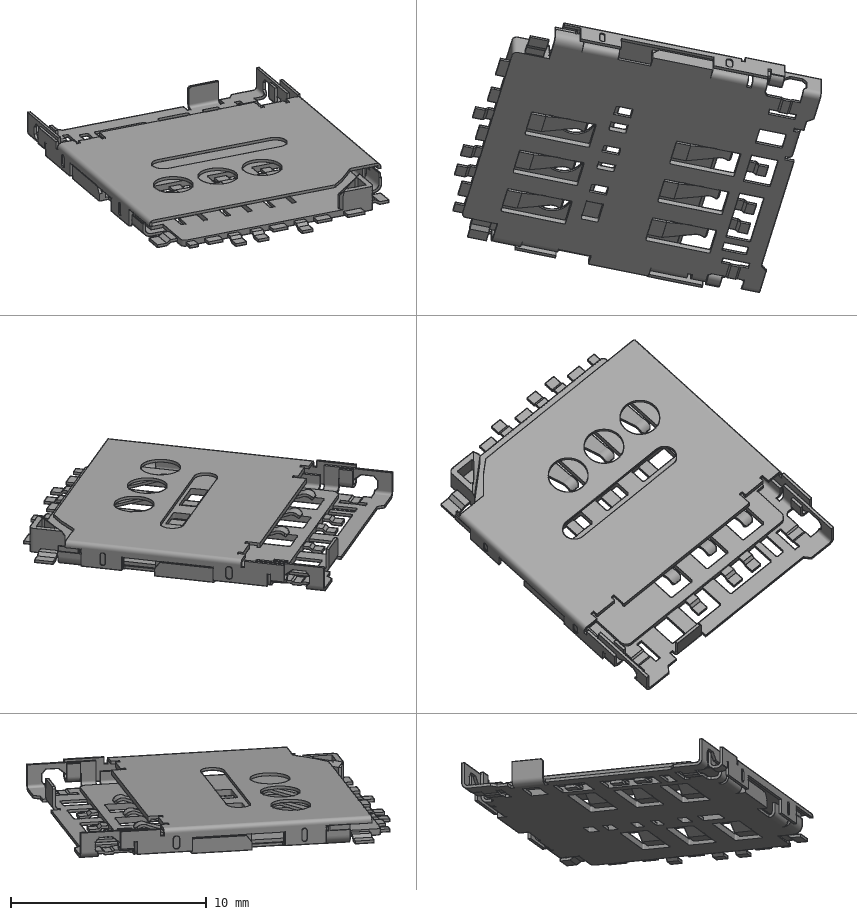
import cadquery as cq
import math

LENGTH = 16.96
WIDTH = 13.85
HEIGHT = 1.5
SHEET = 0.15
EPS = 0.02

BASE_BOTTOM = 0.07
BASE_TOP = BASE_BOTTOM + SHEET
FLOOR_TOP = 0.4
FLOOR_START = 2.53
FLOOR_END = 15.96
FLOOR_HALF = 5.65
COVERED_START = 4.73
COVERED_HALF = 6.1
REAR_HALF = 5.43
ENTRY_CORNER_RADIUS = 0.4
REAR_CORNER_RADIUS = 0.24
OPENING_RADIUS = 0.08
FRONT_EDGE = 0.32
EAR_INNER = 5.0
EAR_CHAMFER_END = 4.75
BEND_RADIUS = 0.32

WING_OUTER = 6.56
WING_END = 3.6
WING_TOP = 1.45
PASSAGE_START, PASSAGE_END = 0.93, 2.83

ANCHOR_INNER, ANCHOR_OUTER = 5.04, 5.83

GUIDE_START = 3.83
FLANGE_TOP = 0.85
TAB_OUTER = WIDTH / 2 - SHEET
TAB_START, TAB_END = 5.77, 8.92
REAR_TAB_START, REAR_TAB_END = 12.55, 14.06
REAR_TAB_TOP = 1.12
REAR_BEND_RADIUS = 0.47

WALL_START = 2.02
COVER_START = 4.29
COVER_END = 15.16
NOTCH_START = 13.64
WALL_BOTTOM = 0.24
WALL_END = 12.77
REAR_WALL_BOTTOM = 1.17
COVER_BEND = 0.25
LIP_BOTTOM = 1.24
WINDOW_END = 10.63
WINDOW_TOP = 0.97
TONGUE_START = 3.99
TONGUE_HALF = 4.41
SHOULDER_START = 4.48
SHOULDER_INNER, SHOULDER_OUTER = 4.6, 5.83
SLIT_END = 4.73
SLIT_WIDTH = 0.19
HOOK_END = 2.73
HOOK_INNER = 6.14
HOOK_BOTTOM = 0.4

SLOT_OPENING = (9.1, 10.0)

CONTACT_ROWS = (1.19, -1.32, -3.85)
COLUMN_STARTS = (3.07, 10.7)
CONTACT_WINDOW = (3.4, 1.5)
TIP_GAP = 0.3
TIP_HALF = 0.3
ROOT_HALF = 0.5
TIP_LENGTH = 0.68
ARM_LENGTH = 1.61
CONTACT_TOP = 1.0
TERMINAL_ROWS = (1.19, -1.3, -2.58)
TERMINAL_WIDTH = 0.61
TERMINAL_LEVEL = 0.15
STUB_END = 16.45
STUBS = ((3.7, 4.68), (1.98, 2.8), (-0.53, 0.3), (-4.19, -3.38), (-5.24, -4.77))


def block(x0, x1, y0, y1, z0, z1):
    """Axis-aligned block between opposite corners."""
    return cq.Workplane("XY").box(x1 - x0, y1 - y0, z1 - z0, centered=False).translate((x0, y0, z0))


def plate(points, z0, z1):
    """Flat plate with an outline in the XY plane."""
    return cq.Workplane("XY").workplane(offset=z0).polyline(points).close().extrude(z1 - z0)


def side_profile(points, y0, y1):
    """Outline in XZ extruded from y0 to y1."""
    return cq.Workplane("XZ", origin=(0, y1, 0)).polyline(points).close().extrude(y1 - y0)


def both_sides(shape):
    """The shape together with its mirror image across the XZ plane."""
    return shape.union(shape.mirror("XZ"))


def through(x0, x1, y0, y1):
    """Cutter for an opening through the base and the floor."""
    return block(x0, x1, y0, y1, -EPS, FLOOR_TOP + EPS)


def bent_flange(x0, x1, outer, top, radius):
    """Sheet lying on the base level and bent up at y = -outer."""
    inner_end = radius - outer + SHEET
    sheet = block(x0, x1, -outer, inner_end, BASE_BOTTOM, top)
    sheet = sheet.edges("|X and <Y and <Z").fillet(radius)
    inside = block(x0 - EPS, x1 + EPS, -outer + SHEET, inner_end + EPS, BASE_TOP, top + EPS)
    inside = inside.edges("|X and <Y and <Z").fillet(radius - SHEET)
    return sheet.cut(inside)


def make_base():
    """Entry plate, rear plate and everything bent up along both sides."""
    flat_half = WING_OUTER - BEND_RADIUS
    front = plate(
        [(0, flat_half), (0, EAR_INNER), (FRONT_EDGE, EAR_CHAMFER_END),
         (FRONT_EDGE, -EAR_CHAMFER_END), (0, -EAR_INNER), (0, -flat_half),
         (WING_END, -flat_half), (WING_END, flat_half)],
        BASE_BOTTOM, BASE_TOP)
    rear = block(WING_END, REAR_TAB_END, -flat_half, flat_half, BASE_BOTTOM, BASE_TOP)

    wing = bent_flange(0, WING_END, WING_OUTER, WING_TOP, BEND_RADIUS)
    hook_passage = side_profile(
        [(PASSAGE_START, 0), (PASSAGE_START, 0.29), (0.76, 0.51), (0.76, 0.92), (0.97, 1.15), (1.63, 1.15),
         (2.04, 0.81), (PASSAGE_END, 0.81), (PASSAGE_END, 0)],
        -WING_OUTER - EPS, -WING_OUTER + SHEET)
    sides = wing.cut(hook_passage)
    sides = sides.union(bent_flange(GUIDE_START, TAB_START, WING_OUTER, FLANGE_TOP, BEND_RADIUS))
    sides = sides.union(bent_flange(WINDOW_END, REAR_TAB_START, WING_OUTER, FLANGE_TOP, BEND_RADIUS))
    sides = sides.union(make_middle_tab(flat_half)).union(make_rear_tab())
    return front.union(rear).union(both_sides(sides))


def make_middle_tab(flat_half):
    """Upright tab that stands in the cover window, with a taller strip behind it."""
    tab = block(TAB_START, TAB_END, -TAB_OUTER, SHEET - TAB_OUTER, BASE_BOTTOM, FLANGE_TOP)
    chamfer_length, chamfer_drop = 0.29, 0.37
    chamfer = [(TAB_END - chamfer_length, FLANGE_TOP), (TAB_END, FLANGE_TOP),
               (TAB_END, FLANGE_TOP - chamfer_drop)]
    tab = tab.cut(side_profile(chamfer, -TAB_OUTER, SHEET - TAB_OUTER))
    strip = block(TAB_START, TAB_END, SHEET - TAB_OUTER, SHEET - WING_OUTER, BASE_BOTTOM, WINDOW_TOP)
    foot = block(TAB_START, TAB_END, -TAB_OUTER, -flat_half, BASE_BOTTOM, BASE_TOP)
    return tab.union(strip).union(foot)


def make_rear_tab():
    """Tab against the cover wall, with a slit under the raised rear part of the wall."""
    tab = bent_flange(REAR_TAB_START, REAR_TAB_END, TAB_OUTER, REAR_TAB_TOP, REAR_BEND_RADIUS)
    slit = block(WALL_END, WALL_END + SHEET, -TAB_OUTER, SHEET - TAB_OUTER, FLANGE_TOP, REAR_TAB_TOP)
    recess_start, recess_depth = 12.99, 0.07
    recess = block(recess_start, REAR_TAB_END, -TAB_OUTER, recess_depth - TAB_OUTER, FLANGE_TOP, REAR_TAB_TOP)
    return tab.cut(slit).cut(recess)


def make_front_openings():
    """Openings in the base ahead of the plastic floor."""
    chamfer = 0.15
    anchor_relief = plate(
        [(PASSAGE_START, ANCHOR_OUTER), (PASSAGE_END - chamfer, ANCHOR_OUTER),
         (PASSAGE_END, ANCHOR_OUTER + chamfer), (PASSAGE_END, WING_OUTER - SHEET),
         (PASSAGE_START, WING_OUTER - SHEET)],
        -EPS, FLOOR_TOP)
    slot_end, slot_width = 2.34, 0.3
    anchor_slot = through(PASSAGE_START, slot_end, ANCHOR_INNER - slot_width, ANCHOR_INNER)
    wing_gap_inner = 6.14
    wing_gap = through(WING_END, GUIDE_START, wing_gap_inner, WING_OUTER)
    openings = both_sides(anchor_relief.union(anchor_slot).union(wing_gap))
    hidden_end = FLOOR_START + SHEET
    for x0, y0, y1 in ((1.12, 2.8, 3.7), (1.12, 0.27, 1.98), (1.24, -3.4, -0.51), (1.24, -4.24, -3.75)):
        opening = block(x0, hidden_end, y0, y1, -EPS, BASE_TOP)
        openings = openings.union(opening.edges("|Z and <X").fillet(OPENING_RADIUS))
    return openings


def make_anchor_pad():
    """Stepped solder pad between an anchor slot and its relief."""
    y0, y1 = ANCHOR_INNER, ANCHOR_OUTER
    ramp = 0.1
    pad_start, pad_end = 1.42, 1.83
    bottom = [(pad_start - ramp, BASE_BOTTOM), (pad_start, 0), (pad_end, 0), (pad_end + ramp, BASE_BOTTOM)]
    top = [(x, z + SHEET) for x, z in reversed(bottom)]
    cut = block(pad_start - ramp, pad_end + ramp, y0, y1, -EPS, BASE_TOP + EPS)
    return cut, side_profile(bottom + top, y0, y1)


def make_detect_flap():
    """Flap bent up from the entry edge, and the notches that free it."""
    y0, y1 = 2.3, 3.99
    x0, x1 = 0.44, 0.81
    relief = 0.19
    top = 1.37
    corner_chamfer = 0.1
    notch = block(-EPS, x1, y0 - relief, y1 + relief, -EPS, BASE_TOP + EPS)
    flap = block(x0, x1 + EPS, y0, y1, BASE_BOTTOM, top)
    flap = flap.edges("|Y and <X and <Z").fillet(BEND_RADIUS)
    flap = flap.edges("|X and <Y and >Z").chamfer(corner_chamfer)
    inside = block(x0 + SHEET, x1 + 0.17, y0 - EPS, y1 + EPS, BASE_TOP, top + EPS)
    inside = inside.edges("|Y and <X and <Z").fillet(BEND_RADIUS - SHEET)
    return notch, flap.cut(inside)


def make_floor():
    """Plastic floor: rounded entry part, wider covered part and rear strip."""
    floor = block(FLOOR_START, NOTCH_START, -FLOOR_HALF, FLOOR_HALF, BASE_BOTTOM, FLOOR_TOP)
    floor = floor.edges("|Z and <X").fillet(ENTRY_CORNER_RADIUS)
    covered = block(COVERED_START, NOTCH_START, -COVERED_HALF, COVERED_HALF, BASE_BOTTOM, FLOOR_TOP)
    rear = block(NOTCH_START, FLOOR_END, -REAR_HALF, REAR_HALF, BASE_BOTTOM, FLOOR_TOP)
    rear = rear.edges("|Z and >X").fillet(REAR_CORNER_RADIUS)
    return floor.union(covered).union(rear)


def make_corner_block():
    """Raised triangular block with a sloped upper edge along its diagonal and a pocket."""
    top = 1.39
    slope_start = 1.17
    corner = (FLOOR_END, REAR_HALF)
    upper_x, upper_y = 14.21, 3.68
    lower_x, lower_y = 14.06, 3.53
    lower = [(lower_x, corner[1]), corner, (corner[0], upper_y), (15.8, lower_y), (15.65, lower_y)]
    upper = [(upper_x, corner[1]), corner, (corner[0], 3.73), (15.95, 3.71), (15.93, 3.71)]
    body = plate(lower, FLOOR_TOP - EPS, slope_start)
    slope = (cq.Workplane("XY").workplane(offset=slope_start).polyline(lower).close()
             .workplane(offset=top - slope_start).polyline(upper).close().loft(ruled=True))
    body = body.union(slope)
    outer = block(lower_x - 0.17, FLOOR_END, lower_y - 0.17, REAR_HALF, 0, top + EPS)
    body = body.intersect(outer.edges("|Z and >X and >Y").fillet(REAR_CORNER_RADIUS))
    pocket = plate(
        [(14.69, 5.12), (15.65, 5.12), (15.65, 4.09), (15.5, 4.09), (14.6, 4.99)], FLOOR_TOP, top + EPS)
    return body.cut(pocket)


def make_floor_windows():
    """Contact windows and the openings below the long cover slot."""
    length, width = CONTACT_WINDOW
    windows = cq.Workplane("XY")
    for x0 in COLUMN_STARTS:
        for y in CONTACT_ROWS:
            opening = through(x0, x0 + length, y - width / 2, y + width / 2)
            windows = windows.union(opening.edges("|Z").fillet(OPENING_RADIUS))
    for y0, y1 in ((1.76, 3.34), (-0.76, 0.76), (-4.07, -1.78)):
        windows = windows.union(through(*SLOT_OPENING, y0, y1).edges("|Z").fillet(OPENING_RADIUS))
    return windows


def make_slot_bars():
    """Metal bars crossing the openings below the cover slot."""
    bars = cq.Workplane("XY")
    for y0, y1 in ((2.29, 2.8), (-0.34, 0.34), (-2.9, -2.29)):
        bars = bars.union(block(*SLOT_OPENING, y0, y1, BASE_BOTTOM, BASE_TOP))
    return bars


def make_contact(window_start, y):
    """Spring arm that rises towards its rounded tip."""
    tip = window_start + TIP_GAP
    crest = tip + TIP_LENGTH
    root = crest + ARM_LENGTH
    end = window_start + CONTACT_WINDOW[0] + SHEET
    tip_z = CONTACT_TOP - 0.24
    crest_z = CONTACT_TOP - 0.07
    middle = crest - TIP_LENGTH / 2
    tip_chamfer = 0.12
    arm = (cq.Workplane("XZ", origin=(0, y + ROOT_HALF, 0))
           .moveTo(end, FLOOR_TOP).lineTo(root, FLOOR_TOP).lineTo(crest, crest_z)
           .threePointArc((middle, CONTACT_TOP), (tip, tip_z))
           .lineTo(tip + SHEET / 2, tip_z - SHEET / 2)
           .threePointArc((middle, CONTACT_TOP - SHEET), (crest, crest_z - SHEET))
           .lineTo(root, FLOOR_TOP - SHEET).lineTo(end, FLOOR_TOP - SHEET).close()
           .extrude(2 * ROOT_HALF))
    half = [(tip, TIP_HALF - tip_chamfer), (tip + tip_chamfer, TIP_HALF), (crest, TIP_HALF),
            (root, ROOT_HALF), (end, ROOT_HALF)]
    outline = [(x, y + h) for x, h in half] + [(x, y - h) for x, h in reversed(half)]
    return arm.intersect(plate(outline, 0, HEIGHT))


def make_terminal(root, knee, foot, end, y):
    """Stepped solder terminal: raised from root to knee, on the seat from foot to end."""
    bottom = [(root, TERMINAL_LEVEL), (knee, TERMINAL_LEVEL), (foot, 0), (end, 0)]
    top = [(x, z + SHEET) for x, z in reversed(bottom)]
    return side_profile(bottom + top, y - TERMINAL_WIDTH / 2, y + TERMINAL_WIDTH / 2)


def make_terminals():
    """Stepped terminals on both ends and plain stubs at the rear."""
    terminals = cq.Workplane("XY")
    rear_knee, entry_knee = 16.28, 2.17
    entry_end = 1.53
    for y in TERMINAL_ROWS:
        rear = make_terminal(FLOOR_END - 0.17, rear_knee, rear_knee + SHEET, LENGTH, y)
        entry = make_terminal(FLOOR_START + 0.17, entry_knee, entry_knee - SHEET, entry_end, y)
        terminals = terminals.union(rear).union(entry)
    for y0, y1 in STUBS:
        terminals = terminals.union(
            block(FLOOR_END - 0.17, STUB_END, y0, y1, TERMINAL_LEVEL, TERMINAL_LEVEL + SHEET))
    return terminals


def make_rear_foot():
    """Solder foot that steps down sideways from the rear of the floor."""
    x0, x1 = 14.37, 15.35
    knee, foot = 5.8, 6.04
    bottom = [(REAR_HALF - 0.17, TERMINAL_LEVEL), (knee, TERMINAL_LEVEL), (foot, 0), (WING_OUTER, 0)]
    top = [(y, z + SHEET) for y, z in reversed(bottom)]
    return cq.Workplane("YZ", origin=(x0, 0, 0)).polyline(bottom + top).close().extrude(x1 - x0)


def make_wall(end):
    """Side wall at the -Y side with its window and indents."""
    outer = -WIDTH / 2
    slit_end, slit_top = 2.9, 0.92
    wall = side_profile(
        [(WALL_START, HEIGHT), (WALL_START, HOOK_BOTTOM + SHEET), (HOOK_END, HOOK_BOTTOM + SHEET),
         (HOOK_END, slit_top), (slit_end, slit_top), (slit_end, WALL_BOTTOM),
         (TAB_START, WALL_BOTTOM), (TAB_START, WINDOW_TOP), (WINDOW_END, WINDOW_TOP),
         (WINDOW_END, WALL_BOTTOM), (WALL_END, WALL_BOTTOM), (WALL_END, REAR_WALL_BOTTOM),
         (end, REAR_WALL_BOTTOM), (end, HEIGHT)],
        outer, outer + SHEET)
    indent_depth = 0.07
    indent_height = 0.7
    indent_z = 0.75
    for x, width in ((4.94, 0.34), (11.63, 0.27)):
        indent = (cq.Workplane("XZ", origin=(x, outer + indent_depth, indent_z))
                  .slot2D(indent_height, width, 90).extrude(2 * indent_depth))
        wall = wall.cut(indent)
    relief_width, relief_bottom = 0.19, 1.14
    corner_relief = block(COVER_START - relief_width, COVER_START,
                          outer - EPS, outer + SHEET + EPS, relief_bottom, HEIGHT + EPS)
    wall = wall.cut(corner_relief)

    hook_top = 1.45
    hook_radius = 0.32
    hook = block(WALL_START, HOOK_END, outer, -HOOK_INNER, HOOK_BOTTOM, hook_top)
    hook = hook.edges("|X and <Z").fillet(hook_radius)
    inside = block(WALL_START - EPS, HOOK_END + EPS, outer + SHEET, -HOOK_INNER - SHEET,
                   HOOK_BOTTOM + SHEET, HEIGHT)
    return wall.union(hook.cut(inside.edges("|X and <Z").fillet(hook_radius - SHEET)))


def make_cover_plate():
    """Top of the cover with its entry tongue, corner cut, slot and contact holes."""
    half = WIDTH / 2
    side = [(COVER_START, half), (COVER_START, SHOULDER_OUTER + SLIT_WIDTH),
            (SLIT_END, SHOULDER_OUTER + SLIT_WIDTH), (SLIT_END, SHOULDER_OUTER),
            (SHOULDER_START, SHOULDER_OUTER), (SHOULDER_START, SHOULDER_INNER),
            (SLIT_END, SHOULDER_INNER), (SLIT_END, TONGUE_HALF), (TONGUE_START, TONGUE_HALF)]
    outline = side + [(x, -y) for x, y in reversed(side)]
    outline += [(COVER_END, -half), (COVER_END, 3.6), (14.62, 4.25), (NOTCH_START, 5.19), (NOTCH_START, half)]
    cover = plate(outline, HEIGHT - SHEET, HEIGHT)

    for edge, y0, y1 in ((TONGUE_START, 0, TONGUE_HALF), (SHOULDER_START, SHOULDER_INNER, SHOULDER_OUTER)):
        cover = cover.union(both_sides(block(edge, edge + SHEET, -y1, -y0, LIP_BOTTOM, HEIGHT)))

    slot_length, slot_width = 7.55, 1.22
    cover = cover.cut(
        cq.Workplane("XY", origin=(8.99, 0, LIP_BOTTOM)).slot2D(slot_length, slot_width, 90).extrude(HEIGHT))
    hole_x, hole_radius = 11.57, 1.02
    return cover.cut(
        cq.Workplane("XY", origin=(0, 0, LIP_BOTTOM))
        .pushPoints([(hole_x, y) for y in CONTACT_ROWS]).circle(hole_radius).extrude(HEIGHT))


def make_cover():
    """Cover plate with both walls and rounded long bends."""
    near_wall = make_wall(COVER_END)
    far_wall = make_wall(NOTCH_START).mirror("XZ")
    cover = make_cover_plate().union(near_wall).union(far_wall)
    span = COVER_END - COVER_START
    bend_end = COVER_BEND * (1 - math.sqrt(0.5))
    edge = WIDTH / 2
    waste = (cq.Workplane("YZ", origin=(COVER_START, 0, 0))
             .moveTo(-edge, HEIGHT - COVER_BEND)
             .threePointArc((-edge + bend_end, HEIGHT - bend_end), (-edge + COVER_BEND, HEIGHT))
             .lineTo(-edge, HEIGHT).close().extrude(span))
    return cover.cut(both_sides(waste))


anchor_cut, anchor_pad = make_anchor_pad()
flap_cut, flap = make_detect_flap()

result = make_base().cut(make_front_openings()).cut(both_sides(anchor_cut)).cut(flap_cut)
result = result.union(both_sides(anchor_pad)).union(flap)
result = result.union(make_floor()).cut(make_floor_windows()).union(make_slot_bars())
result = result.union(make_corner_block())
for start in COLUMN_STARTS:
    for row in CONTACT_ROWS:
        result = result.union(make_contact(start, row))
result = result.union(make_terminals()).union(both_sides(make_rear_foot()))
result = result.union(make_cover())